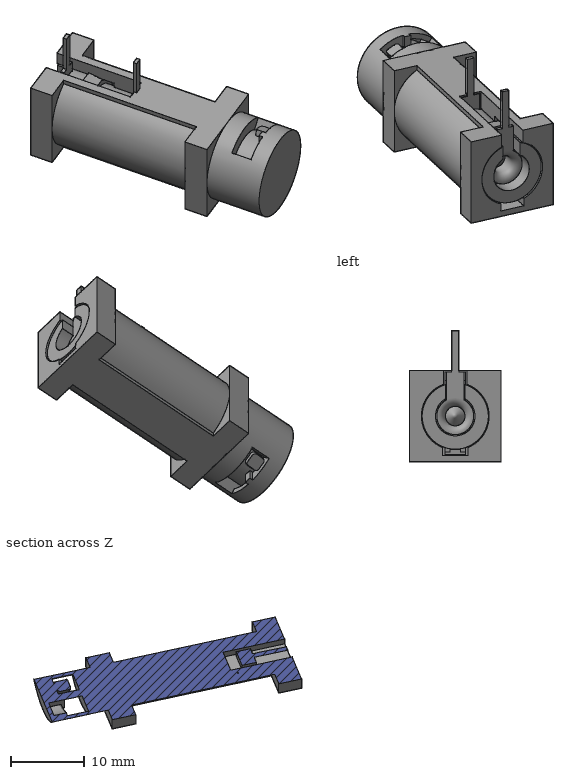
import cadquery as cq
import math

length = 35.05
body_size = 12.5
overall_height = 17.95
half_size = body_size / 2
pin_top = overall_height - half_size

front_flange_end = 3.3
rear_flange_start = 23.65
rear_flange_end = 27.05
spine_width = 5.6

window_start = 29.7
window_end = 32.63
window_half_angle = 39.1
barrel_radius = 4.55
lock_tooth_start = 32.1
lock_tooth_width = 0.95
lug_size = 2.0
lug_corner = 0.5
lug_top_radius = 5.35
lug_angle = 25.0
lug_channel_radius = 5.47
lug_channel_depth = 1.75

bore_radius = 4.63
rear_bore_radius = 3.95
bore_step = 8.75
top_slot_end = 12.9
top_slot_width = 3.22
key_slot_width = 3.5
key_slot_depth = 5.4

carrier_start = 0.2
carrier_radius = 4.52
carrier_rear_radius = 3.85
carrier_bore_radius = 2.7
carrier_slot_width = 2.63
barb_start = 4.98
barb_end = 7.08
barb_width = 2.85
barb_height = 4.87
key_height = 5.25
key_notch_width = 1.4
key_step_length = 0.53
key_notch_floor = 4.6

contact_thickness = 0.53
front_contact_start = 2.05
rear_contact_start = 12.8
front_contact_width = 2.42
rear_contact_width = 2.85
contact_top = 6.03
pin_width = 0.98
eyelet_radius = 2.52
eyelet_rim = 0.1
funnel_radius = 1.1
mouth_radius = eyelet_radius - eyelet_rim
eyelet_hole_radius = mouth_radius - funnel_radius
cone_base = 4.9
front_contact_end = front_contact_start + contact_thickness


def block(x_start, x_end, width, z_start, z_end):
    """Box centred on Y = 0 between the given X and Z limits."""
    size = (x_end - x_start, width, z_end - z_start)
    return cq.Workplane("XY").box(*size, centered=(False, True, False)).translate((x_start, 0, z_start))


def cylinder(x_start, x_end, radius):
    """Cylinder about the part axis."""
    return cq.Workplane("YZ", origin=(x_start, 0, 0)).circle(radius).extrude(x_end - x_start)


def make_housing():
    """Round body with square flanges, flat spines above and below, and the knob cylinder."""
    housing = cylinder(0, length, half_size)
    housing = housing.union(block(0, front_flange_end, body_size, -half_size, half_size))
    housing = housing.union(block(rear_flange_start, rear_flange_end, body_size, -half_size, half_size))
    return housing.union(block(0, rear_flange_end, spine_width, -half_size, half_size))


def make_bore():
    """Space removed from the housing: stepped bore, top slot and bottom key slot."""
    bore = cylinder(0, bore_step, bore_radius)
    bore = bore.union(cylinder(bore_step, top_slot_end, rear_bore_radius))
    bore = bore.union(block(0, top_slot_end, top_slot_width, 0, half_size))
    return bore.union(block(0, bore_step, key_slot_width, -key_slot_depth, 0))


def make_top_barb():
    """Ramp on top of the carrier, falling from its front edge to the tube radius."""
    outline = [
        (barb_start, 0),
        (barb_start, barb_height),
        (barb_end, carrier_radius),
        (barb_end, 0),
    ]
    return cq.Workplane("XZ").polyline(outline).close().extrude(barb_width / 2, both=True)


def make_bottom_key():
    """Stepped key under the carrier, with a notch through its shallow front step."""
    step_end = barb_start + key_step_length
    front_step = block(barb_start, step_end, barb_width, -barb_height, 0)
    notch = block(barb_start, step_end, key_notch_width, -barb_height, -key_notch_floor)
    return front_step.cut(notch).union(block(step_end, barb_end, barb_width, -key_height, 0))


def make_carrier():
    """Stepped carrier tube with a front bore, a front contact slot, a top barb and a bottom key."""
    carrier = cylinder(carrier_start, barb_end, carrier_radius)
    carrier = carrier.union(cylinder(barb_end, top_slot_end, carrier_rear_radius))
    carrier = carrier.union(make_top_barb()).union(make_bottom_key())
    carrier = carrier.cut(cylinder(carrier_start, front_contact_end, carrier_bore_radius))
    return carrier.cut(block(carrier_start, front_contact_end, carrier_slot_width, 0, carrier_radius))


def make_contact(x_start, width):
    """Upright contact plate carrying a narrow solder pin."""
    x_end = x_start + contact_thickness
    plate = block(x_start, x_end, width, 0, contact_top)
    return plate.union(block(x_start, x_end, pin_width, 0, pin_top))


def make_eyelet_hole():
    """Trumpet-mouthed hole in the front contact with a cone standing on its floor."""
    funnel_end = front_contact_start + funnel_radius
    arc_offset = funnel_radius * (1 - math.sqrt(0.5))
    arc_middle = (front_contact_start + arc_offset, eyelet_hole_radius + arc_offset)
    profile = (
        cq.Workplane("XY")
        .moveTo(front_contact_start, 0)
        .lineTo(front_contact_start, mouth_radius)
        .threePointArc(arc_middle, (funnel_end, eyelet_hole_radius))
        .lineTo(cone_base, eyelet_hole_radius)
        .lineTo(cone_base - eyelet_hole_radius, 0)
        .close()
    )
    return profile.revolve(360, (0, 0, 0), (1, 0, 0))


def ring_sector(x_start, x_end, inner_radius, outer_radius):
    """Part of a ring about the part axis, spanning the window angle on both sides of +Z."""
    reach = 2 * outer_radius
    half_span = reach * math.tan(math.radians(window_half_angle))
    wedge = (
        cq.Workplane("YZ", origin=(x_start, 0, 0))
        .polyline([(0, 0), (half_span, reach), (-half_span, reach)])
        .close()
        .extrude(x_end - x_start)
    )
    ring = cylinder(x_start, x_end, outer_radius).cut(cylinder(x_start, x_end, inner_radius))
    return ring.intersect(wedge)


def make_window():
    """Window through the knob wall, with a lock tooth and a lug channel at its +X edge."""
    window = ring_sector(window_start, window_end, barrel_radius, half_size)
    window = window.cut(block(lock_tooth_start, window_end, lock_tooth_width, 0, half_size))
    channel_end = window_end + lug_channel_depth
    channel = ring_sector(window_end, channel_end, barrel_radius, lug_channel_radius)
    keep_out = block(window_end, channel_end, body_size, 0, half_size)
    channel = channel.cut(keep_out.translate((0, (body_size - lock_tooth_width) / 2, 0)))
    return window.union(channel)


def make_lug():
    """Bayonet lug standing radially on the barrel, turned from the top towards +Y."""
    lug = block(window_end - lug_size, window_end, lug_size, 0, lug_top_radius)
    lug = lug.edges("|Z").fillet(lug_corner)
    return lug.rotate((0, 0, 0), (1, 0, 0), -lug_angle)


result = make_housing().cut(make_bore()).union(make_carrier())

eyelet = cylinder(front_contact_start, front_contact_end, eyelet_radius)
result = result.union(eyelet).union(make_contact(front_contact_start, front_contact_width))
result = result.cut(make_eyelet_hole())
result = result.union(make_contact(rear_contact_start, rear_contact_width))

for turn in (0, 180):
    result = result.cut(make_window().rotate((0, 0, 0), (1, 0, 0), turn))
    result = result.union(make_lug().rotate((0, 0, 0), (1, 0, 0), turn))